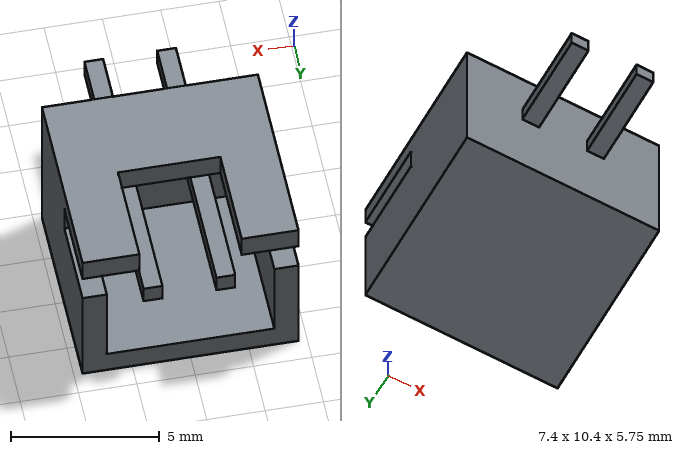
import cadquery as cq

overall_length = 10.4
body_width = 7.4
body_depth = 7.0
body_height = 5.75

wall = 0.83
cavity_depth = 6.03

notch_width = 3.5
notch_depth = 3.68

slot_depth = 3.13
slot_height = 1.0
slot_top_drop = wall

pin_size = 0.65
pin_pitch = 2.5
pin_drop = 2.38
pin_tail = overall_length - body_depth
pin_recess = 0.2


def box_between(width, y_start, y_end, z_low, z_high, x_center=0):
    """Box centred on x_center, spanning the given Y and Z ranges."""
    return (
        cq.Workplane("XY")
        .box(width, y_end - y_start, z_high - z_low, centered=(True, False, False))
        .translate((x_center, y_start, z_low))
    )


def make_housing():
    housing = box_between(body_width, 0, body_depth, 0, body_height)
    cavity = box_between(
        body_width - 2 * wall, body_depth - cavity_depth, body_depth, wall, body_height - wall
    )
    notch = box_between(
        notch_width, body_depth - notch_depth, body_depth, body_height - wall, body_height
    )
    slot_top = body_height - slot_top_drop
    side_slots = box_between(
        body_width, body_depth - slot_depth, body_depth, slot_top - slot_height, slot_top
    )
    return housing.cut(cavity).cut(notch).cut(side_slots)


def make_pin(x_center):
    pin_z = body_height - pin_drop
    return box_between(
        pin_size,
        -pin_tail,
        body_depth - pin_recess,
        pin_z - pin_size / 2,
        pin_z + pin_size / 2,
        x_center,
    )


result = make_housing()
for side in (-1, 1):
    result = result.union(make_pin(side * pin_pitch / 2))